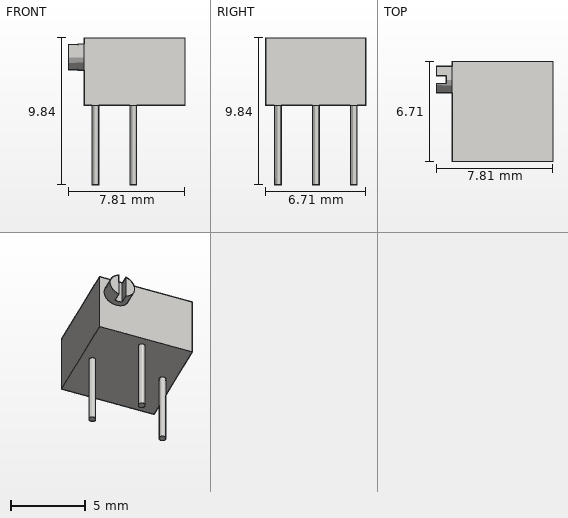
import cadquery as cq

overall_length = 7.81
body_length = 6.76
body_width = 6.71
body_height = 4.51

screw_diameter = 1.78
screw_length = overall_length - body_length
screw_y = 2.14
screw_z = body_height - 1.28
slot_width = 0.5
slot_depth = 0.65

overall_height = 9.84
lead_diameter = 0.46
lead_length = overall_height - body_height
lead_pitch = 2.54
outer_lead_x = -0.1
lead_positions = [
    (outer_lead_x, -lead_pitch),
    (outer_lead_x - lead_pitch, 0),
    (outer_lead_x, lead_pitch),
]


def make_body():
    return cq.Workplane("XY").box(body_length, body_width, body_height, centered=(True, True, False))


def make_screw():
    """Round screw head with a vertical screwdriver slot in its end face."""
    body_face_x = -body_length / 2
    end_x = body_face_x - screw_length
    head = (
        cq.Workplane("YZ", origin=(body_face_x, screw_y, screw_z))
        .circle(screw_diameter / 2)
        .extrude(-screw_length)
    )
    slot = (
        cq.Workplane("XY")
        .box(slot_depth, slot_width, screw_diameter, centered=(False, True, True))
        .translate((end_x, screw_y, screw_z))
    )
    return head.cut(slot)


def make_leads():
    return cq.Workplane("XY").pushPoints(lead_positions).circle(lead_diameter / 2).extrude(-lead_length)


result = make_body().union(make_screw()).union(make_leads())